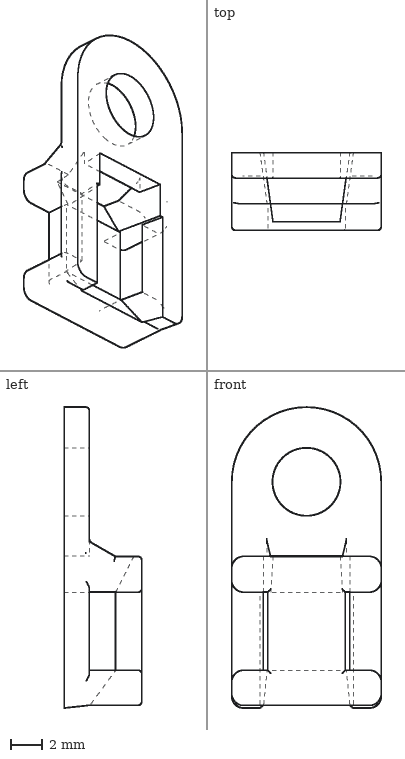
import cadquery as cq
import math

width = 9.53
height = 19.18
depth = 4.95
half_width = width / 2

plate_thickness = 1.61
hole_diameter = 4.32
eye_z = height - half_width
foot_rise = 0.17

block_top_z = 9.67
ramp_end_depth = 3.26
ramp_angle = math.radians(30)
ramp_root_z = block_top_z + (ramp_end_depth - plate_thickness) * math.tan(ramp_angle)
ramp_root_radius = 0.27

window_bottom_z = 2.42
window_top_z = 7.38
web_half_width = 2.47

channel_front_depth = 4.41
web_back_depth = 3.26
channel_roof_z = 9.7
inlet_half_width = 2.75
outlet_half_width = 2.97
channel_taper = 0.138

arm_radius = 0.77
edge_radius = 0.25

overlap = edge_radius
clearance = 1.92
select_margin = 0.02


def side_profile(points):
    """Closed outline from (depth, z) points, in the YZ plane."""
    return cq.Workplane("YZ").polyline([(-d, z) for d, z in points]).close()


def make_plate():
    plate = (
        cq.Workplane("XZ")
        .moveTo(-half_width, 0)
        .lineTo(half_width, 0)
        .lineTo(half_width, eye_z)
        .threePointArc((0, height), (-half_width, eye_z))
        .close()
        .extrude(plate_thickness)
    )
    foot_wedge = side_profile([(0, 0), (plate_thickness, 0), (plate_thickness, foot_rise)])
    plate = plate.cut(foot_wedge.extrude(half_width, both=True))
    plate = plate.faces("<Z").edges("<X or >X").fillet(arm_radius)
    plate = plate.faces("<Y").edges().fillet(edge_radius)
    hole = cq.Workplane("XZ").center(0, eye_z).circle(hole_diameter / 2).extrude(plate_thickness)
    return plate.cut(hole)


def make_block():
    root_depth = plate_thickness - overlap
    block = side_profile([
        (root_depth, foot_rise),
        (depth, foot_rise),
        (depth, block_top_z),
        (ramp_end_depth, block_top_z),
        (plate_thickness, ramp_root_z),
        (root_depth, ramp_root_z),
    ]).extrude(half_width, both=True)

    for side in (-1, 1):
        window = cq.Workplane("XY").box(
            half_width - web_half_width,
            depth,
            window_top_z - window_bottom_z,
            centered=(True, False, False),
        ).translate((side * (half_width + web_half_width) / 2, -depth, window_bottom_z))
        block = block.cut(window)

    block = block.faces("<X or >X").edges("not(#Y)").fillet(arm_radius)
    block = block.faces("<Y").edges().fillet(edge_radius)
    return block


def blend_ramp_root(body):
    """Concave fillet where the ramp and its rounded sides meet the plate face."""
    root_zone = cq.selectors.BoxSelector(
        (-width, -plate_thickness - select_margin, block_top_z),
        (width, -plate_thickness + select_margin, eye_z - hole_diameter / 2),
    )
    return body.edges(root_zone).edges("|X or %ELLIPSE or %BSPLINE").fillet(ramp_root_radius)


def tapered_cut(profile, half_width_at_back):
    """Extruded side profile limited to a width that narrows with depth."""
    back_half = half_width_at_back + channel_taper * clearance
    front_half = half_width_at_back - channel_taper * depth
    limits = (
        cq.Workplane("XY")
        .polyline([
            (-back_half, clearance),
            (back_half, clearance),
            (front_half, -depth),
            (-front_half, -depth),
        ])
        .close()
        .extrude(height + 2 * clearance)
        .translate((0, 0, -clearance))
    )
    return profile.extrude(width, both=True).intersect(limits)


def make_channel():
    inlet = tapered_cut(side_profile([
        (plate_thickness, height),
        (channel_front_depth, height),
        (channel_front_depth, block_top_z),
        (web_back_depth, window_top_z),
        (-clearance, window_top_z),
        (-clearance, channel_roof_z),
        (plate_thickness, channel_roof_z),
    ]), inlet_half_width)
    outlet = tapered_cut(side_profile([
        (-clearance, window_top_z),
        (web_back_depth, window_top_z),
        (web_back_depth, window_bottom_z),
        (plate_thickness, foot_rise),
        (plate_thickness, -clearance),
        (-clearance, -clearance),
    ]), outlet_half_width)
    return inlet.union(outlet)


body = blend_ramp_root(make_plate().union(make_block()))
result = body.cut(make_channel())